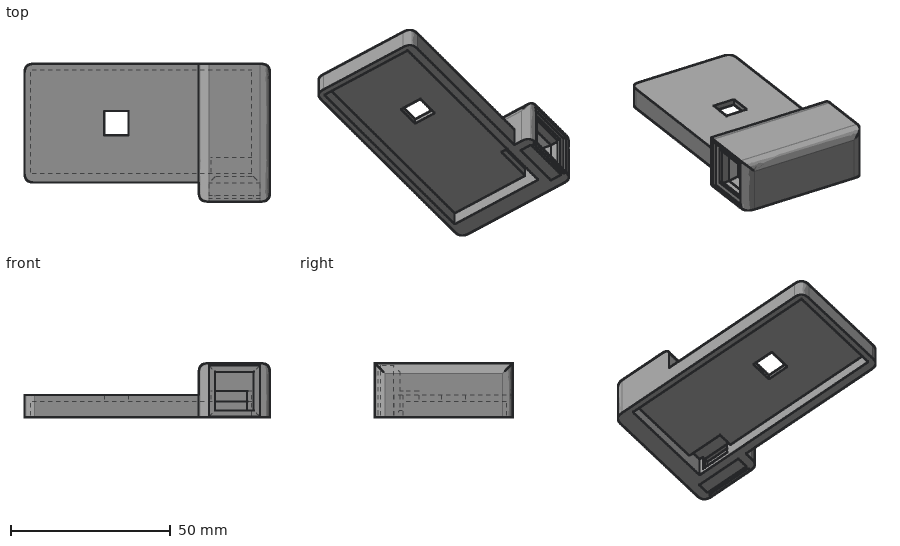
import cadquery as cq

overall_length = 76.94
housing_depth = 43.27
housing_height = 17.0
front_overhang = 6.0
plate_thickness = 7.0
wall = 2.0

rounding_reach = 3.2
rounding_fullness = 0.7

window_size = 7.5
window_center_x = 28.8

cavity_size = 16.0
cavity_floor = 0.2
frame_width = 2.0
frame_setback = 1.0
frame_thickness = 0.9
cavity_depth = 4.0

doorway_thickness = 1.0
passage_width = 10.0
passage_height = 6.0
shaft_side_clearance = 1.3
shaft_depth = 5.0

housing_width = cavity_size + 2 * rounding_reach
housing_left = overall_length - housing_width
plate_width = housing_depth - front_overhang
cavity_left = housing_left + rounding_reach
opening_size = cavity_size - 2 * frame_width
opening_left = cavity_left + frame_width
opening_floor = cavity_floor + frame_width

frame_back = frame_setback + frame_thickness
taper_start = frame_back + cavity_depth
taper_end = taper_start + frame_width
hollow_front = taper_end + doorway_thickness

shaft_left = opening_left - shaft_side_clearance
shaft_right = opening_left + passage_width + shaft_side_clearance
hollow_height = plate_thickness - wall


def box(left, front, bottom, width, depth, height):
    return cq.Workplane("XY").box(width, depth, height, centered=False).translate((left, front, bottom))


def edge_trim(plane, corner, direction, length):
    """Sliver between a sharp edge through `corner` and its rounding.

    `direction` gives the signs pointing from the edge into the solid, in `plane` axes.
    """

    def point(along_first, along_second):
        return (corner[0] + direction[0] * along_first, corner[1] + direction[1] * along_second)

    handle = rounding_reach * (1 - rounding_fullness)
    return (
        cq.Workplane(plane)
        .moveTo(*corner)
        .lineTo(*point(rounding_reach, 0))
        .bezier([point(handle, 0), point(0, handle), point(0, rounding_reach)], includeCurrent=True)
        .close()
        .extrude(length)
    )


def make_plate():
    plate = box(0, front_overhang, 0, cavity_left, plate_width, plate_thickness)
    plate = plate.cut(edge_trim("XY", (0, front_overhang), (1, 1), plate_thickness))
    return plate.cut(edge_trim("XY", (0, housing_depth), (1, -1), plate_thickness))


def make_housing():
    housing = box(housing_left, 0, 0, housing_width, housing_depth, housing_height)
    for corner, direction in (
        ((housing_left, 0), (1, 1)),
        ((overall_length, 0), (-1, 1)),
        ((overall_length, housing_depth), (-1, -1)),
    ):
        housing = housing.cut(edge_trim("XY", corner, direction, housing_height))
    for corner, direction in (
        ((housing_left, housing_height), (1, -1)),
        ((overall_length, housing_height), (-1, -1)),
    ):
        housing = housing.cut(edge_trim("XZ", corner, direction, -housing_depth))
    return housing


def make_window():
    half_window = window_size / 2
    front = front_overhang + plate_width / 2 - half_window
    return box(window_center_x - half_window, front, 0, window_size, window_size, plate_thickness)


def make_taper():
    center_x = cavity_left + cavity_size / 2
    center_z = cavity_floor + cavity_size / 2
    return (
        cq.Workplane("XZ", origin=(center_x, taper_start, center_z))
        .rect(cavity_size, cavity_size)
        .workplane(offset=-frame_width)
        .rect(opening_size, opening_size)
        .loft(ruled=True)
    )


def make_cavity():
    recess = box(cavity_left, 0, cavity_floor, cavity_size, frame_setback, cavity_size)
    opening = box(opening_left, 0, opening_floor, opening_size, taper_start, opening_size)
    chamber = box(cavity_left, frame_back, cavity_floor, cavity_size, cavity_depth, cavity_size)
    return recess.union(opening).union(chamber).union(make_taper())


def make_passage():
    doorway_depth = hollow_front - taper_start
    doorway = box(opening_left, taper_start, opening_floor, passage_width, doorway_depth, passage_height)
    shaft_height = opening_floor + passage_height
    shaft = box(shaft_left, hollow_front, 0, shaft_right - shaft_left, shaft_depth, shaft_height)
    return doorway.union(shaft)


def make_hollow():
    hollow_depth = housing_depth - wall - hollow_front
    return box(wall, hollow_front, 0, shaft_right - wall, hollow_depth, hollow_height)


result = make_plate().union(make_housing())
for void in (make_hollow(), make_window(), make_cavity(), make_passage()):
    result = result.cut(void)